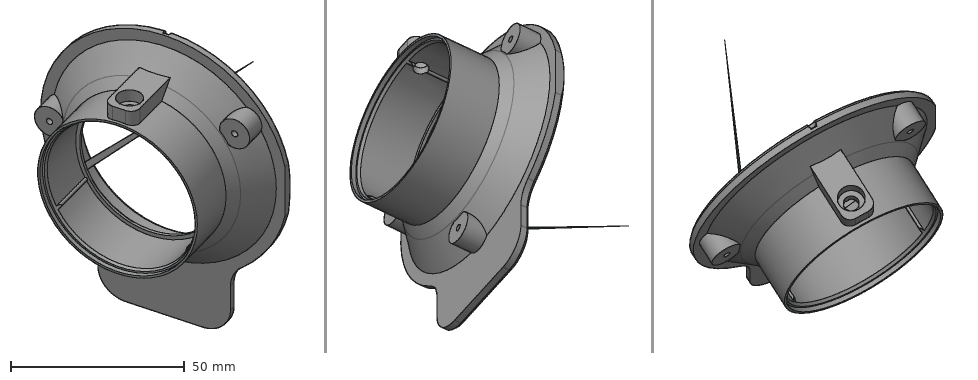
import cadquery as cq
import math


flange_radius = 41.0
flange_thickness = 3.0
flange_chamfer = 0.9
flange_flat_x = 40.05
tongue_width = 44.0
tongue_bottom_z = -57.48
tongue_corner_radius = 9.3
neck_radius = 10.0

cone_base_radius = 37.2
cone_ring_radius = 29.6
tube_radius = 53.0 / 2
tube_length = 30.0
cone_ring_depth = 10.4
cone_end_depth = 13.4

entry_radius = 51.5 / 2
entry_depth = 1.5
lead_in_radius = 25.15
lead_in_length = 1.0
socket_radius = 49.5 / 2
socket_floor_depth = 11.0
throat_radius = 46.9 / 2
lip_thickness = 1.0
cavity_floor_y = lip_thickness - socket_floor_depth
cavity_radius = 58.0 / 2
cavity_rim_width = 0.3
cavity_rim_depth = 0.6

rib_diameter = 1.2
rib_angles = (90, 210, 330)

boss_diameter = 10.0
boss_hole_diameter = 2.0
boss_depth = 10.1
boss_circle_radius = 34.1
boss_angles = (36.5, 175, 270)

tab_width = 10.3
tab_top_z = 31.2
tab_front_depth = 29.0
tab_corner_radius = 3.0
tab_screw_depth = 23.0
tab_hole_diameter = 4.6
tab_counterbore_diameter = 8.0
tab_counterbore_floor_z = 27.2

notch_width = 2.35
notch_center_z = 40.0
notch_depth = 2.1
notch_tip_length = 0.9
notch_tip_inset = 0.3

sliver_tip_y = 48.5
sliver_base_radius = 28.9
sliver_angle = 206.0
sliver_spread = 5.0
sliver_thickness = 0.3


def revolve_profile(points):
    """Turn (radius, y) points about the Y axis."""
    return cq.Workplane("XY").polyline(points).close().revolve(360, (0, 0, 0), (0, 1, 0))


def cylinder_along_y(diameter, x, z, y_start, y_end):
    """Round bar from y_start toward -Y to y_end."""
    plane = cq.Workplane("XZ", origin=(x, y_start, z))
    return plane.circle(diameter / 2).extrude(y_start - y_end)


def polar(radius, angle):
    """X and Z of a point given by radius and angle in degrees from +X toward +Z."""
    return radius * math.cos(math.radians(angle)), radius * math.sin(math.radians(angle))


def flange():
    """Round plate with a rounded tongue below, blended by neck arcs, and a flat on the +X side."""
    half_width = tongue_width / 2
    neck_x = half_width + neck_radius
    neck_z = -math.sqrt((flange_radius + neck_radius) ** 2 - neck_x**2)
    rim_share = flange_radius / (flange_radius + neck_radius)
    rim_x = neck_x * rim_share
    rim_z = neck_z * rim_share
    blank = cq.Workplane("XZ").circle(flange_radius).extrude(flange_thickness)
    neck = (
        cq.Workplane("XZ")
        .moveTo(-rim_x, rim_z)
        .lineTo(rim_x, rim_z)
        .radiusArc((half_width, neck_z), -neck_radius)
        .lineTo(half_width, tongue_bottom_z)
        .lineTo(-half_width, tongue_bottom_z)
        .lineTo(-half_width, neck_z)
        .radiusArc((-rim_x, rim_z), -neck_radius)
        .close()
        .extrude(flange_thickness)
    )
    neck = neck.edges("|Y").edges("<Z").fillet(tongue_corner_radius)
    plate = blank.union(neck).clean()
    plate = plate.faces(">Y").edges().chamfer(flange_chamfer)
    trim_size = 4 * flange_radius
    keep = cq.Workplane("XY").box(trim_size, trim_size, trim_size)
    keep = keep.translate((flange_flat_x - trim_size / 2, 0, 0))
    return plate.intersect(keep)


def cone_and_tube():
    """Solid cone and tube, sunk slightly into the flange."""
    return revolve_profile(
        [
            (0, -tube_length),
            (tube_radius, -tube_length),
            (tube_radius, -cone_end_depth),
            (cone_ring_radius, -cone_ring_depth),
            (cone_base_radius, -flange_thickness),
            (cone_base_radius, -flange_chamfer),
            (0, -flange_chamfer),
        ]
    )


def bore():
    """Everything removed along the axis; the cavity flares at 45 degrees behind the throat."""
    step_y = entry_depth - tube_length
    socket_y = step_y + lead_in_length
    cavity_cone_end_y = cavity_floor_y + cavity_radius - throat_radius
    return revolve_profile(
        [
            (0, -tube_length),
            (entry_radius, -tube_length),
            (entry_radius, step_y),
            (lead_in_radius, step_y),
            (socket_radius, socket_y),
            (socket_radius, -socket_floor_depth),
            (throat_radius, -socket_floor_depth),
            (throat_radius, cavity_floor_y),
            (cavity_radius, cavity_cone_end_y),
            (cavity_radius, -cavity_rim_depth),
            (cavity_radius + cavity_rim_width, 0),
            (0, 0),
        ]
    )


def ribs():
    """Round ribs along the socket wall, trimmed at the front by the lead-in cone."""
    step_y = entry_depth - tube_length
    slope = lead_in_length / (lead_in_radius - socket_radius)
    lead_in = revolve_profile(
        [(0, step_y), (lead_in_radius, step_y), (0, step_y + slope * lead_in_radius)]
    )
    bars = cq.Workplane("XY")
    for angle in rib_angles:
        x, z = polar(socket_radius, angle)
        bars = bars.add(cylinder_along_y(rib_diameter, x, z, -socket_floor_depth, step_y))
    return bars.combine().cut(lead_in)


def add_bosses(body):
    for angle in boss_angles:
        x, z = polar(boss_circle_radius, angle)
        body = body.union(cylinder_along_y(boss_diameter, x, z, -flange_thickness, -boss_depth))
    return body


def cut_boss_holes(body):
    for angle in boss_angles:
        x, z = polar(boss_circle_radius, angle)
        body = body.cut(cylinder_along_y(boss_hole_diameter, x, z, 0, -tube_length))
    return body


def tab():
    """Block rising from the axis to the tab top; the bore removes its lower part."""
    length = tab_front_depth - flange_thickness
    block = cq.Workplane("XY").box(tab_width, length, tab_top_z, centered=(True, False, False))
    block = block.edges("|Z and <Y").fillet(tab_corner_radius)
    return block.translate((0, -tab_front_depth, 0))


def tab_screw_hole():
    through = (
        cq.Workplane("XY", origin=(0, -tab_screw_depth, 0))
        .circle(tab_hole_diameter / 2)
        .extrude(tab_top_z)
    )
    head = (
        cq.Workplane("XY", origin=(0, -tab_screw_depth, tab_counterbore_floor_z))
        .circle(tab_counterbore_diameter / 2)
        .extrude(tab_top_z - tab_counterbore_floor_z)
    )
    return through.union(head)


def rim_notch():
    """Round-bottomed groove open to the flange back and rim, with a tapered end."""
    half_width = notch_width / 2
    notch = (
        cq.Workplane("XZ")
        .moveTo(-half_width, flange_radius + notch_width)
        .lineTo(-half_width, notch_center_z)
        .threePointArc((0, notch_center_z - half_width), (half_width, notch_center_z))
        .lineTo(half_width, flange_radius + notch_width)
        .close()
        .extrude(notch_depth)
    )
    return notch.faces("<Y").chamfer(notch_tip_length, notch_tip_inset)


def sliver():
    """Thin four-sided pyramid with its tip on the axis."""
    first_x, first_z = polar(sliver_base_radius, sliver_angle - sliver_spread / 2)
    second_x, second_z = polar(sliver_base_radius, sliver_angle + sliver_spread / 2)
    outward_x, outward_z = polar(sliver_thickness, sliver_angle)
    corners = [
        cq.Vector(first_x, cavity_floor_y, first_z),
        cq.Vector(second_x, cavity_floor_y, second_z),
        cq.Vector(second_x + outward_x, cavity_floor_y, second_z + outward_z),
        cq.Vector(first_x + outward_x, cavity_floor_y, first_z + outward_z),
    ]
    tip = cq.Vector(0, sliver_tip_y, 0)
    faces = [cq.Face.makeFromWires(cq.Wire.makePolygon(corners, close=True))]
    for start, end in zip(corners, corners[1:] + corners[:1]):
        faces.append(cq.Face.makeFromWires(cq.Wire.makePolygon([start, end, tip], close=True)))
    return cq.Workplane("XY").add(cq.Solid.makeSolid(cq.Shell.makeShell(faces)))


body = flange().union(cone_and_tube())
body = add_bosses(body).union(tab())
body = body.cut(bore()).union(ribs())
body = body.cut(tab_screw_hole()).cut(rim_notch())
body = cut_boss_holes(body)
result = body.union(sliver())